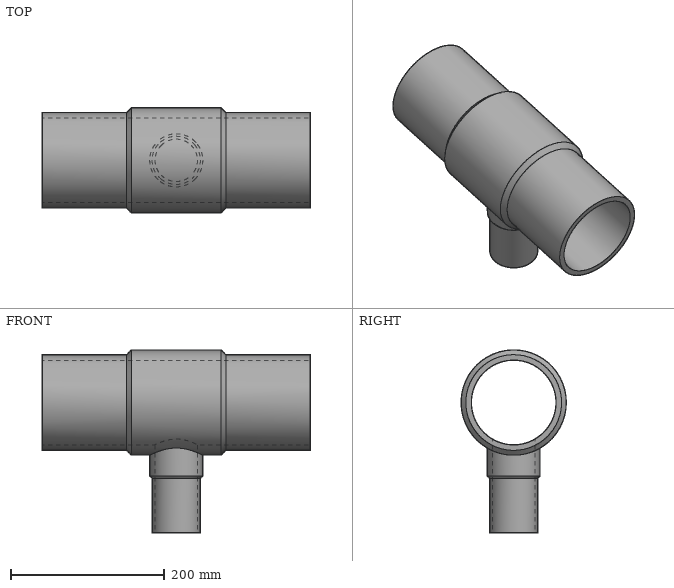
import cadquery as cq

run_length = 350.0
run_diameter = 125.0
run_bore = 110.2

sleeve_length = 129.5
sleeve_diameter = 137.5
sleeve_chamfer = (sleeve_diameter - run_diameter) / 2

overall_height = 238.7
branch_reach = overall_height - sleeve_diameter / 2
branch_diameter = 63.0
branch_bore = 55.3

collar_reach = 99.0
collar_diameter = 69.3
collar_chamfer = (collar_diameter - branch_diameter) / 2


def run_cylinder(diameter, length):
    """Cylinder along X, centred on the origin."""
    start = cq.Workplane("YZ").workplane(offset=-length / 2)
    return start.circle(diameter / 2).extrude(length)


def branch_cylinder(diameter, reach):
    """Cylinder from the main axis straight down."""
    return cq.Workplane("XY").circle(diameter / 2).extrude(-reach)


run = run_cylinder(run_diameter, run_length)
sleeve = run_cylinder(sleeve_diameter, sleeve_length).edges().chamfer(sleeve_chamfer)
branch = branch_cylinder(branch_diameter, branch_reach)
collar = branch_cylinder(collar_diameter, collar_reach).faces("<Z").chamfer(collar_chamfer)
tee = run.union(sleeve).union(collar).union(branch)

tee = tee.cut(run_cylinder(run_bore, run_length))
result = tee.cut(branch_cylinder(branch_bore, branch_reach))